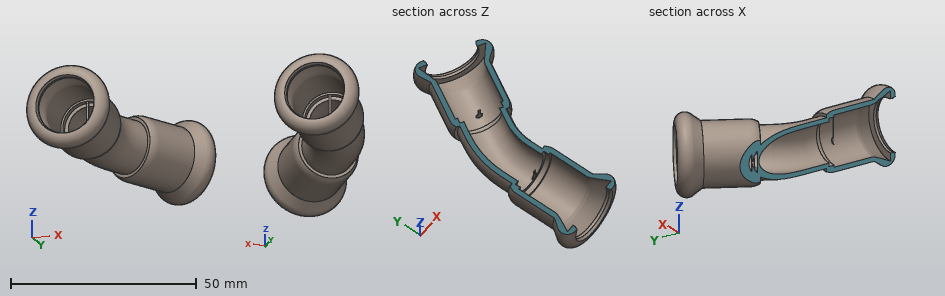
import cadquery as cq
import math

tube_radius = 15.0 / 2
tube_bore_radius = 12.0 / 2

socket_radius = 18.3 / 2
socket_end_depth = 22.6
shoulder_start_depth = 20.0
shoulder_drop = 0.8
bead_radius = 2.75
bead_centre_radius = 8.85
bead_blend_depth = 4.2
flare_end_depth = 7.0

lip_radius = 8.25
lip_chamfer_depth = 0.85
lip_depth = 1.7
entry_radius = 15.8 / 2
entry_depth = 6.55
groove_radius = 10.2
pipe_radius = 15.2 / 2
lead_in_depth = 7.5
stop_depth = 20.0
recess_radius = 14.0 / 2
recess_depth = 21.65

overall_length = 65.45
bend_angle = 30.0
bend_radius = 22.0
bend_radians = math.radians(bend_angle)
far_bead_reach = (
    bead_radius + bead_centre_radius * math.sin(bend_radians) - bead_radius * math.cos(bend_radians)
)
leg_length = (overall_length - far_bead_reach) / (1 + math.cos(bend_radians))
bend_start = leg_length - bend_radius * math.tan(bend_radians / 2)

marker_disc_radius = 1.0
marker_bar_width = 0.6
marker_thickness = 0.1


def at_far_leg(shape):
    """Move a shape from the first leg to the second by mirroring across the bend's bisector."""
    half = bend_radians / 2
    normal = cq.Vector(math.sin(half), math.cos(half), 0)
    plane = cq.Plane(origin=(0, leg_length, 0), xDir=(0, 0, 1), normal=normal)
    return cq.Workplane(shape.val().mirror(plane.zDir, plane.origin))


def revolve_about_leg(profile):
    return profile.close().revolve(360, (0, 0, 0), (0, 1, 0))


def swept_elbow(radius):
    """Round bar along the straight stubs and the bend, from one recess floor to the other."""
    stub = bend_start - recess_depth
    start = cq.Workplane("XZ", origin=(0, recess_depth, 0)).circle(radius).extrude(-stub)
    bend = (
        cq.Workplane("XZ", origin=(0, bend_start, 0)).circle(radius)
        .revolve(bend_angle, (bend_radius, 0, 0), (bend_radius, -1, 0))
    )
    return start.union(bend).union(at_far_leg(start))


def socket_outside():
    blend_rise = bead_blend_depth - bead_radius
    blend_radius = bead_centre_radius + math.sqrt(bead_radius**2 - blend_rise**2)
    return revolve_about_leg(
        cq.Workplane("XY").moveTo(0, 0).lineTo(bead_centre_radius, 0)
        .threePointArc((bead_centre_radius + bead_radius, bead_radius), (blend_radius, bead_blend_depth))
        .lineTo(socket_radius, flare_end_depth)
        .lineTo(socket_radius, shoulder_start_depth)
        .tangentArcPoint((socket_radius - shoulder_drop, socket_end_depth), relative=False)
        .lineTo(0, socket_end_depth)
    )


def socket_inside():
    return revolve_about_leg(
        cq.Workplane("XY").moveTo(0, 0).lineTo(lip_radius, 0)
        .lineTo(entry_radius, lip_chamfer_depth)
        .lineTo(entry_radius, lip_depth)
        .lineTo(groove_radius, lip_depth)
        .lineTo(entry_radius, entry_depth)
        .lineTo(pipe_radius, lead_in_depth)
        .lineTo(pipe_radius, stop_depth)
        .lineTo(recess_radius, stop_depth)
        .lineTo(recess_radius, recess_depth)
        .lineTo(0, recess_depth)
    )


def make_fitting():
    outside = socket_outside()
    inside = socket_inside()
    body = swept_elbow(tube_radius).union(outside).union(at_far_leg(outside))
    return body.cut(swept_elbow(tube_bore_radius)).cut(inside).cut(at_far_leg(inside))


def make_marker():
    """Disc on the leg axis with a bar reaching up to the recess wall."""
    plane = cq.Workplane("XZ", origin=(0, stop_depth, 0))
    bar = plane.center(0, recess_radius / 2).rect(marker_bar_width, recess_radius).extrude(-marker_thickness)
    recess = plane.circle(recess_radius).extrude(-marker_thickness)
    return plane.circle(marker_disc_radius).extrude(-marker_thickness).union(bar.intersect(recess))


fitting = make_fitting()
near_marker = make_marker()
markers = [near_marker, at_far_leg(near_marker)]
result = cq.Compound.makeCompound([fitting.val(), *[marker.val() for marker in markers]])